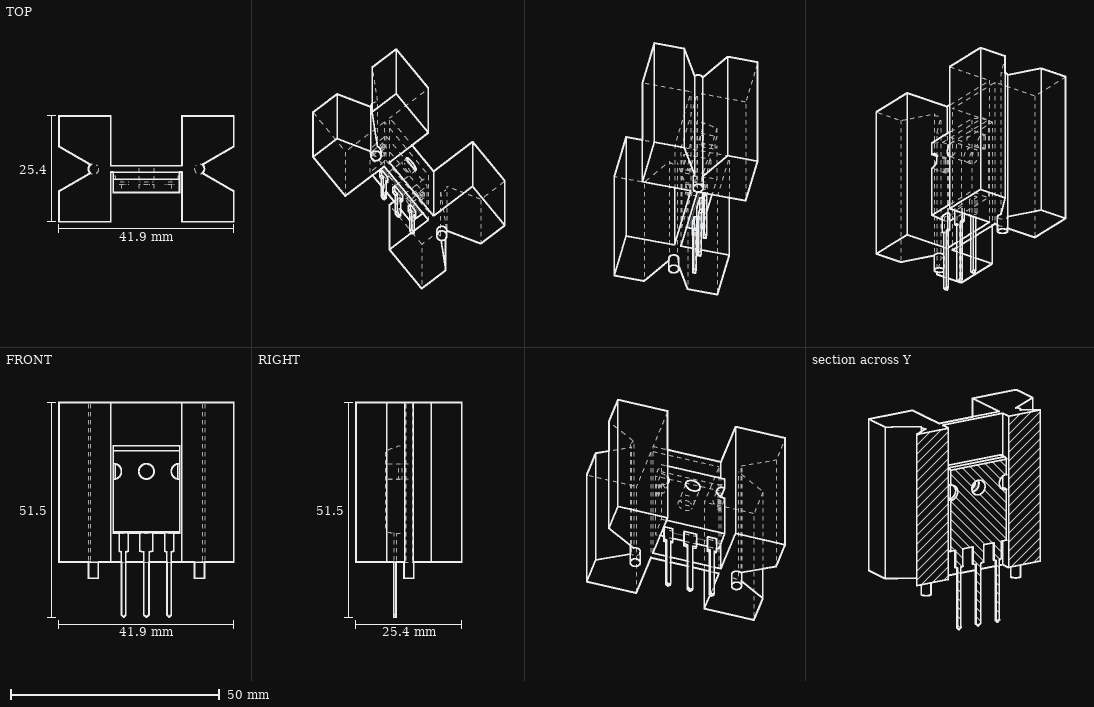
import cadquery as cq
import math

SINK_WIDTH = 41.9
SINK_DEPTH = 25.4
SINK_HEIGHT = 38.2
CHANNEL_WIDTH = 17.0
WEB_THICKNESS = 1.6
NOTCH_MOUTH = 10.7
NOTCH_SLOPE = 30

PIN_DIAMETER = 2.4
PIN_SPACING = 25.4
PIN_PROTRUSION = 3.9

PACKAGE_WIDTH = 15.95
PACKAGE_BOTTOM = 6.9
PACKAGE_TOP = 27.8
PACKAGE_DEPTH = 4.9
BASE_DEPTH = 1.75
TOP_SLOPE_DROP = 1.15
BOTTOM_SLOPE_RISE = 0.3
HOLE_DIAMETER = 3.6
HOLE_HEIGHT = 21.7
SIDE_RECESS_DIAMETER = 3.7
SIDE_RECESS_INSET = 0.15
BASE_RECESS_INSET = 0.5
BACK_PLATE = 0.9

LEAD_PITCH = 5.45
LEAD_THICKNESS = 0.6
LEAD_SETBACK = 2.55
SHOULDER_END = 2.6
SHOULDER_TAPER = 0.2
LEAD_TIP = SINK_HEIGHT - 51.45
TIP_LENGTH = 0.55
OUTER_SHOULDER_WIDTH = 2.15
OUTER_LEAD_WIDTH = 1.1
MIDDLE_SHOULDER_WIDTH = 3.1
MIDDLE_LEAD_WIDTH = 1.3

web_front = -WEB_THICKNESS / 2
package_front = web_front - PACKAGE_DEPTH
base_front = web_front - BASE_DEPTH
lead_back = web_front - LEAD_SETBACK + LEAD_THICKNESS / 2


def mounting_hole():
    """Cutter along Y through both the package and the web."""
    return (
        cq.Workplane("XZ")
        .center(0, HOLE_HEIGHT)
        .circle(HOLE_DIAMETER / 2)
        .extrude(SINK_DEPTH / 2, both=True)
    )


def side_notch(side):
    """V notch cutter on one outer side, from top to bottom."""
    mouth_x = side * SINK_WIDTH / 2
    half_mouth = NOTCH_MOUTH / 2
    apex_x = mouth_x - side * half_mouth / math.tan(math.radians(NOTCH_SLOPE))
    return (
        cq.Workplane("XY")
        .polyline([(mouth_x, -half_mouth), (mouth_x, half_mouth), (apex_x, 0)])
        .close()
        .extrude(SINK_HEIGHT)
    )


def solder_pin(side):
    return (
        cq.Workplane("XY")
        .workplane(offset=-PIN_PROTRUSION)
        .center(side * PIN_SPACING / 2, 0)
        .circle(PIN_DIAMETER / 2)
        .extrude(SINK_HEIGHT + PIN_PROTRUSION)
    )


def make_heatsink():
    block_width = (SINK_WIDTH - CHANNEL_WIDTH) / 2
    block_x = (CHANNEL_WIDTH + block_width) / 2
    sink = cq.Workplane("XY").rect(CHANNEL_WIDTH, WEB_THICKNESS).extrude(SINK_HEIGHT)
    for side in (-1, 1):
        block = (
            cq.Workplane("XY")
            .center(side * block_x, 0)
            .rect(block_width, SINK_DEPTH)
            .extrude(SINK_HEIGHT)
        )
        sink = sink.union(block.cut(side_notch(side)).union(solder_pin(side)))
    return sink.cut(mounting_hole())


def package_body():
    """Side profile in YZ with sloped top and bottom, extruded across X."""
    return (
        cq.Workplane("YZ")
        .polyline([
            (web_front, PACKAGE_BOTTOM),
            (base_front, PACKAGE_BOTTOM),
            (package_front, PACKAGE_BOTTOM + BOTTOM_SLOPE_RISE),
            (package_front, PACKAGE_TOP - TOP_SLOPE_DROP),
            (base_front, PACKAGE_TOP),
            (web_front, PACKAGE_TOP),
        ])
        .close()
        .extrude(PACKAGE_WIDTH / 2, both=True)
    )


def side_recess(side):
    """Round recess in the front layer and a shallower flat one in the base."""
    side_x = side * PACKAGE_WIDTH / 2
    front_recess = (
        cq.Workplane("XZ", origin=(0, base_front, 0))
        .center(side_x - side * SIDE_RECESS_INSET, HOLE_HEIGHT)
        .circle(SIDE_RECESS_DIAMETER / 2)
        .extrude(PACKAGE_DEPTH - BASE_DEPTH)
    )
    base_recess = (
        cq.Workplane("XZ", origin=(0, web_front - BACK_PLATE, 0))
        .center(side_x, HOLE_HEIGHT)
        .rect(2 * BASE_RECESS_INSET, SIDE_RECESS_DIAMETER)
        .extrude(BASE_DEPTH - BACK_PLATE)
    )
    return front_recess.union(base_recess)


def lead(center_x, shoulder_width, lead_width):
    """Flat lead with a wide shoulder and a pointed tip."""
    half_shoulder = shoulder_width / 2
    half_lead = lead_width / 2
    root = PACKAGE_BOTTOM + BOTTOM_SLOPE_RISE
    return (
        cq.Workplane("XZ", origin=(center_x, lead_back, 0))
        .polyline([
            (-half_shoulder, root),
            (-half_shoulder, SHOULDER_END),
            (-half_lead, SHOULDER_END - SHOULDER_TAPER),
            (-half_lead, LEAD_TIP + TIP_LENGTH),
            (0, LEAD_TIP),
            (half_lead, LEAD_TIP + TIP_LENGTH),
            (half_lead, SHOULDER_END - SHOULDER_TAPER),
            (half_shoulder, SHOULDER_END),
            (half_shoulder, root),
        ])
        .close()
        .extrude(LEAD_THICKNESS)
    )


def make_transistor():
    body = package_body().cut(mounting_hole())
    body = body.union(lead(0, MIDDLE_SHOULDER_WIDTH, MIDDLE_LEAD_WIDTH))
    for side in (-1, 1):
        body = body.cut(side_recess(side))
        body = body.union(lead(side * LEAD_PITCH, OUTER_SHOULDER_WIDTH, OUTER_LEAD_WIDTH))
    return body


heatsink = make_heatsink()
transistor = make_transistor()

result = cq.Compound.makeCompound([heatsink.val(), transistor.val()])